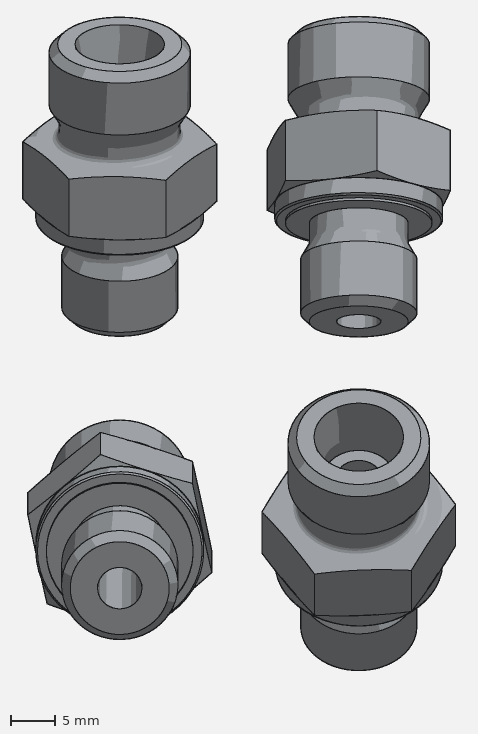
import cadquery as cq
import math

total_height = 34.0
seal_face_z = 12.0
hex_bottom_z = 14.0
hex_top_z = 22.0

hex_across_flats = 19.0
hex_chamfer_diameter = 18.9
hex_corner_drop = 0.4
collar_radius = hex_across_flats / 2
collar_edge_chamfer = 0.2

thread_chamfer = 1.0
runout_angle = math.radians(30)
lower_thread_radius = 13.15 / 2
lower_thread_top_z = 7.4
lower_neck_radius = 11.2 / 2
lower_undercut_fillet = 1.4
upper_thread_radius = 16.0 / 2
upper_thread_bottom_z = 26.5
upper_neck_radius = 13.7 / 2
upper_undercut_fillet = 1.0
shoulder_fillet = 1.0

bore_diameter = 5.0
socket_mouth_diameter = 10.1
socket_floor_diameter = 8.0
socket_half_angle = math.radians(12)
taper_depth = (socket_mouth_diameter - socket_floor_diameter) / 2 / math.tan(socket_half_angle)
socket_depth = 7.0

seal_radius = 16.6 / 2
seal_projection = 0.3
seal_recess_depth = 1.2


def runout_points(thread_radius, neck_radius, fillet):
    """(radius, axial distance from the thread end) where the cone meets
    the fillet, at the middle of the fillet, and where it meets the neck."""
    def radius_at(angle):
        return neck_radius + fillet * (1 - math.cos(angle))

    cone_end_radius = radius_at(runout_angle)
    cone_length = (thread_radius - cone_end_radius) / math.tan(runout_angle)
    neck_distance = cone_length + fillet * math.sin(runout_angle)
    middle_angle = runout_angle / 2
    middle = (radius_at(middle_angle), neck_distance - fillet * math.sin(middle_angle))
    return (cone_end_radius, cone_length), middle, (neck_radius, neck_distance)


def make_lower_stud():
    points = runout_points(lower_thread_radius, lower_neck_radius, lower_undercut_fillet)
    cone_end, middle, neck = [(r, lower_thread_top_z + distance) for r, distance in points]
    return (
        cq.Workplane("XZ")
        .lineTo(lower_thread_radius - thread_chamfer, 0)
        .lineTo(lower_thread_radius, thread_chamfer)
        .lineTo(lower_thread_radius, lower_thread_top_z)
        .lineTo(*cone_end)
        .threePointArc(middle, neck)
        .lineTo(lower_neck_radius, hex_bottom_z)
        .lineTo(0, hex_bottom_z)
        .close()
        .revolve(360, (0, 0), (0, 1))
    )


def make_upper_stud():
    points = runout_points(upper_thread_radius, upper_neck_radius, upper_undercut_fillet)
    cone_end, middle, neck = [(r, upper_thread_bottom_z - distance) for r, distance in points]
    arc_inset = shoulder_fillet * (1 - math.sqrt(0.5))
    return (
        cq.Workplane("XZ")
        .moveTo(0, hex_top_z)
        .lineTo(upper_neck_radius + shoulder_fillet, hex_top_z)
        .threePointArc(
            (upper_neck_radius + arc_inset, hex_top_z + arc_inset),
            (upper_neck_radius, hex_top_z + shoulder_fillet),
        )
        .lineTo(*neck)
        .threePointArc(middle, cone_end)
        .lineTo(upper_thread_radius, upper_thread_bottom_z)
        .lineTo(upper_thread_radius, total_height - thread_chamfer)
        .lineTo(upper_thread_radius - thread_chamfer, total_height)
        .lineTo(0, total_height)
        .close()
        .revolve(360, (0, 0), (0, 1))
    )


def make_hexagon():
    """Hexagonal prism with its corners turned off by a shallow cone at each end."""
    corner_radius = hex_across_flats / math.sqrt(3)
    prism = (
        cq.Workplane("XY", origin=(0, 0, hex_bottom_z))
        .polygon(6, 2 * corner_radius)
        .extrude(hex_top_z - hex_bottom_z)
        .rotate((0, 0, 0), (0, 0, 1), 30)
    )
    turned_envelope = (
        cq.Workplane("XZ")
        .moveTo(0, hex_bottom_z)
        .lineTo(hex_chamfer_diameter / 2, hex_bottom_z)
        .lineTo(corner_radius, hex_bottom_z + hex_corner_drop)
        .lineTo(corner_radius, hex_top_z - hex_corner_drop)
        .lineTo(hex_chamfer_diameter / 2, hex_top_z)
        .lineTo(0, hex_top_z)
        .close()
        .revolve(360, (0, 0), (0, 1))
    )
    return prism.intersect(turned_envelope)


def make_collar():
    return (
        cq.Workplane("XY", origin=(0, 0, seal_face_z))
        .circle(collar_radius)
        .extrude(hex_bottom_z - seal_face_z)
        .faces("<Z")
        .edges()
        .chamfer(collar_edge_chamfer)
    )


def make_seal_recess():
    return (
        cq.Workplane("XY", origin=(0, 0, seal_face_z))
        .circle(seal_radius)
        .circle(lower_neck_radius)
        .extrude(seal_recess_depth)
    )


def make_bore():
    return cq.Workplane("XY").circle(bore_diameter / 2).extrude(total_height)


def make_tube_socket():
    return (
        cq.Workplane("XZ")
        .moveTo(0, total_height)
        .lineTo(socket_mouth_diameter / 2, total_height)
        .lineTo(socket_floor_diameter / 2, total_height - taper_depth)
        .lineTo(socket_floor_diameter / 2, total_height - socket_depth)
        .lineTo(0, total_height - socket_depth)
        .close()
        .revolve(360, (0, 0), (0, 1))
    )


def make_fitting():
    outside = make_hexagon().union(make_collar()).union(make_lower_stud()).union(make_upper_stud())
    return outside.cut(make_seal_recess()).cut(make_bore()).cut(make_tube_socket())


def make_seal_ring():
    return (
        cq.Workplane("XY", origin=(0, 0, seal_face_z - seal_projection))
        .circle(seal_radius)
        .circle(lower_neck_radius)
        .extrude(seal_projection + seal_recess_depth)
    )


fitting = make_fitting()
seal_ring = make_seal_ring()

result = cq.Compound.makeCompound([fitting.solids().val(), seal_ring.val()])